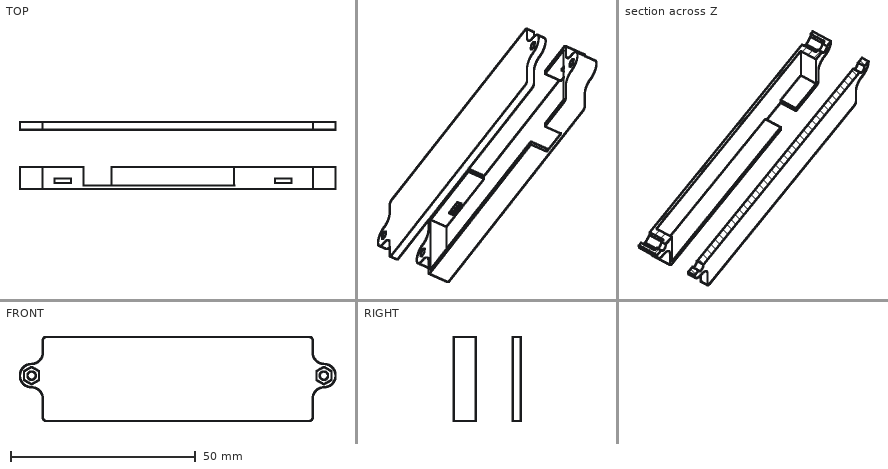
import cadquery as cq
import math

overall_length = 85.6
height = 22.85
corner_radius = 1.0
ear_radius = 3.2
ear_fillet_radius = 3.0
ear_z = 0.9
body_length = 73.2
ear_x = overall_length / 2 - ear_radius

base_depth = 6.0
gap = 10.0
overall_depth = 18.2
lid_y = base_depth + gap
lid_thickness = overall_depth - lid_y

screw_hole_diameter = 2.2
nut_across_flats = 4.1
nut_pocket_depth = 4.5
hexagon_sides = 6
hexagon_turn = 180 / hexagon_sides

face_thickness = 1.0
wall_thickness = 1.2

top_opening = (-25.5, 15.3)
bottom_opening = (top_opening[0], -18.0)

slot_length = 4.5
slot_width = 1.3
slot_y = 2.25
slot_centers_x = (-31.15, 28.55)

def box_between(x_range, y_range, z_range):
    """Axis-aligned box spanning the given ranges."""
    size = [high - low for low, high in (x_range, y_range, z_range)]
    corner = (x_range[0], y_range[0], z_range[0])
    return cq.Workplane("XY").box(*size, centered=False).translate(corner)

def plane_at(y):
    """Workplane parallel to XZ that extrudes towards +Y; local axes are X and -Z."""
    return cq.Workplane(cq.Plane(origin=(0, y, 0), xDir=(1, 0, 0), normal=(0, 1, 0)))

def ear_points():
    return [(side * ear_x, -ear_z) for side in (-1, 1)]

def ear_web(side, y, thickness):
    """Ear on one end: a round tip that flares into the body through two concave fillets."""
    body_edge = body_length / 2
    flare_x = body_edge + ear_fillet_radius
    flare_z = math.sqrt((ear_radius + ear_fillet_radius) ** 2 - (ear_x - flare_x) ** 2)
    tip_share = ear_radius / (ear_radius + ear_fillet_radius)
    touch_x = ear_x + (flare_x - ear_x) * tip_share
    touch_z = flare_z * tip_share
    start_angle = math.pi
    end_angle = math.atan2(touch_z - flare_z, touch_x - flare_x) + 2 * math.pi
    middle_angle = (start_angle + end_angle) / 2
    middle_x = flare_x + ear_fillet_radius * math.cos(middle_angle)
    middle_z = flare_z + ear_fillet_radius * math.sin(middle_angle)

    def point(x, z):
        return (side * x, z - ear_z)

    inner_x = body_edge - corner_radius
    return (
        plane_at(y)
        .moveTo(*point(inner_x, flare_z))
        .lineTo(*point(body_edge, flare_z))
        .threePointArc(point(middle_x, middle_z), point(touch_x, touch_z))
        .threePointArc(point(ear_x + ear_radius, 0), point(touch_x, -touch_z))
        .threePointArc(point(middle_x, -middle_z), point(body_edge, -flare_z))
        .lineTo(*point(inner_x, -flare_z))
        .close()
        .extrude(thickness)
    )

def eared_plate(y, thickness):
    """Rounded plate with a drilled ear at each end."""
    plate = plane_at(y).rect(body_length, height).extrude(thickness)
    plate = plate.edges("|Y").fillet(corner_radius)
    for side in (-1, 1):
        plate = plate.union(ear_web(side, y, thickness))
    holes = plane_at(y).pushPoints(ear_points()).circle(screw_hole_diameter / 2).extrude(thickness)
    return plate.cut(holes)

def make_base():
    base = eared_plate(0, base_depth)
    inside_y = (face_thickness, base_depth)
    inner_x = body_length / 2 - wall_thickness
    inner_z = height / 2 - wall_thickness

    base = base.cut(box_between((-inner_x, inner_x), inside_y, (-inner_z, inner_z)))

    base = base.cut(box_between(top_opening, inside_y, (0, height / 2)))
    base = base.cut(box_between(bottom_opening, inside_y, (-height / 2, 0)))

    slot_y_range = (slot_y - slot_width / 2, slot_y + slot_width / 2)
    for x in slot_centers_x:
        slot_x_range = (x - slot_length / 2, x + slot_length / 2)
        base = base.cut(box_between(slot_x_range, slot_y_range, (0, height / 2)))

    nut_across_corners = nut_across_flats / math.cos(math.pi / hexagon_sides)
    for x, z_down in ear_points():
        pocket = plane_at(0).polygon(hexagon_sides, nut_across_corners).extrude(nut_pocket_depth)
        pocket = pocket.rotate((0, 0, 0), (0, 1, 0), hexagon_turn).translate((x, 0, -z_down))
        base = base.cut(pocket)
    return base

def make_lid():
    return eared_plate(lid_y, lid_thickness)

base = make_base()
lid = make_lid()

result = cq.Compound.makeCompound([base.val(), lid.val()])